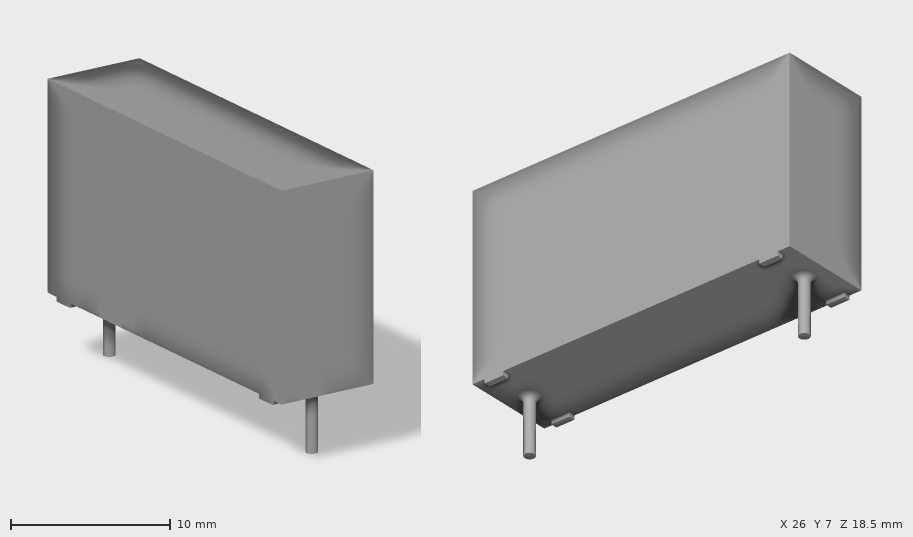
import cadquery as cq


case_length = 26
case_width = 7.0
overall_height = 18.5
lead_length = 4.32
case_height = overall_height - lead_length

lead_spacing = 22.52
lead_diameter = 0.8
flare_radius = 0.5

foot_length = 1.5
foot_width = 0.5
foot_height = 0.3

lead_positions = [(side * lead_spacing / 2, 0) for side in (-1, 1)]


def make_case():
    return cq.Workplane("XY").box(case_length, case_width, case_height, centered=(True, True, False))


def make_feet():
    foot_offset = (case_width - foot_width) / 2
    foot_positions = [(x, side * foot_offset) for x, _ in lead_positions for side in (-1, 1)]
    return (
        cq.Workplane("XY")
        .pushPoints(foot_positions)
        .rect(foot_length, foot_width)
        .extrude(-foot_height)
    )


def make_lead():
    """Revolve a lead about Z, with a quarter-circle flare meeting the case."""
    lead_radius = lead_diameter / 2
    flare_rim_radius = lead_radius + flare_radius
    return (
        cq.Workplane("XZ")
        .lineTo(flare_rim_radius, 0)
        .radiusArc((lead_radius, -flare_radius), -flare_radius)
        .lineTo(lead_radius, -lead_length)
        .lineTo(0, -lead_length)
        .close()
        .revolve(360, (0, 0), (0, 1))
    )


result = make_case().union(make_feet())
lead = make_lead()
for x, y in lead_positions:
    result = result.union(lead.translate((x, y, 0)))